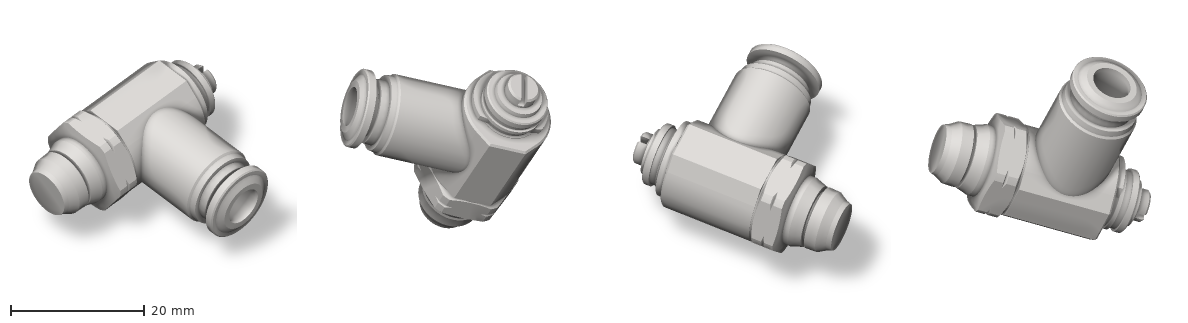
import cadquery as cq
import math


across_flats = 14.0
body_radius = across_flats / 2
body_top = 7.55
body_bottom = -7.2
body_chamfer = 0.3
half_flat = body_radius * math.tan(math.radians(22.5))
tangent_point = body_radius * math.cos(math.radians(45))
collar_radius = 6.9

hex_corner_radius = 7.75
hex_top = -7.45
hex_bottom = -12.0
hex_top_land_radius = 6.9
hex_top_bevel_angle = 30.0
hex_bottom_bevel_height = 0.6
notch_depth = 0.4
notch_half_height = 0.25
notch_centre = (hex_top + hex_bottom) / 2

seal_radius = 5.5
seal_cone_start = -12.95
seal_cone_end = -14.75
thread_radius = 4.9
thread_groove_radius = 4.05
thread_groove_fillet = 0.4
thread_flank_angle = 15.0
thread_straight_radius = 4.83
thread_straight_end = -17.1
thread_lead_radius = 4.0
thread_lead_end = -18.5
end_radius = 3.77
end_y = -19.25

knob_radius = 4.9
knob_bottom_rim = 9.3
knob_groove_radius = 4.5
knob_groove_top = 10.4
knob_top = 11.55
knob_chamfer = 0.2
shoulder_base_radius = 3.78
shoulder_radius = 3.6
shoulder_top = 12.3
screw_radius = 2.5
screw_top = 14.25
screw_chamfer = 0.3
slot_width = 1.0
slot_depth = 1.5

clip_bottom = 7.65
clip_top = 8.7
clip_radius = 6.0
clip_centre_z = 0.5
clip_outer_end_z = -2.9
clip_inner_end_z = -3.2
clip_outer_end_x = math.sqrt(clip_radius**2 - (clip_outer_end_z - clip_centre_z) ** 2)
clip_inner_end_x = math.sqrt(knob_groove_radius**2 - clip_inner_end_z**2)

port_radius = 6.25
port_straight_end = 16.75
port_bevel = 0.3
port_taper_end = 18.05
port_taper_radius = 5.8
cap_base_radius = 5.0
cap_end_radius = 4.93
cap_end = 19.37
neck_radius = 4.0
neck_fillet = 0.5
flange_radius = 6.0
flange_start = 20.53
flange_end = 21.8
flange_chamfer = 0.2
nose_base_radius = 5.1
nose_radius = 4.0
port_end = 22.5
tube_bore_radius = 3.0
tube_bore_depth = 12.0
slit_width = 0.95
slit_end = 19.5


def xz_plane(y):
    """Sketch plane square to the screw axis; negative extrusions run towards +Y."""
    return cq.Workplane("XZ", origin=(0, y, 0))


def turned_about_y(profile):
    """Revolve (radius, y) points about the screw axis."""
    return cq.Workplane("XY").polyline(profile).close().revolve(360, (0, 0), (0, 1))


def make_body():
    """Barrel with a bevelled top rim and the collar that joins it to the hexagon."""
    barrel = (
        xz_plane(body_bottom)
        .moveTo(-half_flat, body_radius)
        .lineTo(half_flat, body_radius)
        .lineTo(tangent_point, tangent_point)
        .threePointArc((body_radius, 0), (tangent_point, -tangent_point))
        .lineTo(half_flat, -body_radius)
        .lineTo(-half_flat, -body_radius)
        .lineTo(-tangent_point, -tangent_point)
        .threePointArc((-body_radius, 0), (-tangent_point, tangent_point))
        .close()
        .extrude(body_bottom - body_top)
        .faces(">Y")
        .chamfer(body_chamfer)
    )
    collar = xz_plane(hex_top).circle(collar_radius).extrude(hex_top - body_bottom)
    return barrel.union(collar)


def make_hexagon():
    """Hexagon with bevelled corners and a V notch running round through the corners."""
    top_bevel_height = (hex_corner_radius - hex_top_land_radius) * math.tan(math.radians(hex_top_bevel_angle))
    envelope = turned_about_y(
        [
            (0, hex_top),
            (hex_top_land_radius, hex_top),
            (hex_corner_radius, hex_top - top_bevel_height),
            (hex_corner_radius, notch_centre + notch_half_height),
            (hex_corner_radius - notch_depth, notch_centre),
            (hex_corner_radius, notch_centre - notch_half_height),
            (hex_corner_radius, hex_bottom + hex_bottom_bevel_height),
            (seal_radius, hex_bottom),
            (0, hex_bottom),
        ]
    )
    across_corners = across_flats / math.cos(math.radians(30))
    prism = xz_plane(hex_bottom).polygon(6, across_corners).extrude(hex_bottom - hex_top)
    return prism.intersect(envelope)


def make_threaded_end():
    """Seal cone, thread relief with a rounded root and a sloping flank, then the tapered thread lead."""
    flank = math.radians(thread_flank_angle)
    half_turn = (math.pi / 2 - flank) / 2
    root_centre_radius = thread_groove_radius + thread_groove_fillet

    def root_point(angle):
        return (
            root_centre_radius - thread_groove_fillet * math.cos(angle),
            seal_cone_end - thread_groove_fillet * math.sin(angle),
        )

    flank_start = root_point(2 * half_turn)
    flank_drop = (thread_radius - flank_start[0]) * math.tan(flank)
    return (
        cq.Workplane("XY")
        .moveTo(0, hex_bottom)
        .lineTo(seal_radius, hex_bottom)
        .lineTo(seal_radius, seal_cone_start)
        .lineTo(thread_radius, seal_cone_end)
        .lineTo(thread_groove_radius, seal_cone_end)
        .threePointArc(root_point(half_turn), flank_start)
        .lineTo(thread_radius, flank_start[1] - flank_drop)
        .lineTo(thread_straight_radius, thread_straight_end)
        .lineTo(thread_lead_radius, thread_lead_end)
        .lineTo(end_radius, end_y)
        .lineTo(0, end_y)
        .close()
        .revolve(360, (0, 0), (0, 1))
    )


def make_screw():
    """Grooved knob with the slotted screw standing on it."""
    screw = turned_about_y(
        [
            (0, body_top),
            (knob_radius, body_top),
            (knob_radius, clip_bottom),
            (knob_groove_radius, clip_bottom),
            (knob_groove_radius, clip_top),
            (knob_radius, clip_top),
            (knob_radius, knob_bottom_rim),
            (knob_groove_radius, knob_bottom_rim),
            (knob_groove_radius, knob_groove_top),
            (knob_radius, knob_groove_top),
            (knob_radius, knob_top - knob_chamfer),
            (knob_radius - knob_chamfer, knob_top),
            (shoulder_base_radius, knob_top),
            (shoulder_radius, shoulder_top),
            (screw_radius, shoulder_top),
            (screw_radius, screw_top - screw_chamfer),
            (screw_radius - screw_chamfer, screw_top),
            (0, screw_top),
        ]
    )
    slot = cq.Workplane("XY").box(slot_width, 2 * slot_depth, 2 * knob_radius).translate((0, screw_top, 0))
    return screw.cut(slot)


def make_clip():
    """Clip ring around the knob groove, cut off below the knob axis."""
    return (
        xz_plane(clip_bottom)
        .moveTo(-clip_outer_end_x, clip_outer_end_z)
        .threePointArc((0, clip_centre_z + clip_radius), (clip_outer_end_x, clip_outer_end_z))
        .lineTo(clip_inner_end_x, clip_inner_end_z)
        .lineTo(-clip_inner_end_x, clip_inner_end_z)
        .close()
        .extrude(clip_bottom - clip_top)
    )


def make_port():
    """Port barrel, cap ring, collet neck and release flange as one turned shape about X."""
    fillet_start = flange_start - neck_fillet
    fillet_middle = neck_fillet * math.sin(math.radians(45))
    return (
        cq.Workplane("XY")
        .moveTo(0, 0)
        .lineTo(0, port_radius)
        .lineTo(port_straight_end, port_radius)
        .lineTo(port_straight_end + port_bevel, port_radius - port_bevel)
        .lineTo(port_taper_end, port_taper_radius)
        .lineTo(port_taper_end, cap_base_radius)
        .lineTo(cap_end, cap_end_radius)
        .lineTo(cap_end, neck_radius)
        .lineTo(fillet_start, neck_radius)
        .threePointArc(
            (fillet_start + fillet_middle, neck_radius + neck_fillet - fillet_middle),
            (flange_start, neck_radius + neck_fillet),
        )
        .lineTo(flange_start, flange_radius)
        .lineTo(flange_end - flange_chamfer, flange_radius)
        .lineTo(flange_end, flange_radius - flange_chamfer)
        .lineTo(flange_end, nose_base_radius)
        .lineTo(port_end, nose_radius)
        .lineTo(port_end, 0)
        .close()
        .revolve(360, (0, 0), (1, 0))
    )


def make_tube_socket():
    """Tube bore together with the slit that crosses the collet neck along Y."""
    bore_bottom = cq.Workplane("YZ", origin=(port_end - tube_bore_depth, 0, 0))
    bore = bore_bottom.circle(tube_bore_radius).extrude(tube_bore_depth)
    slit = cq.Workplane("XY").box(slit_end - cap_end, 2 * neck_radius, slit_width)
    return bore.union(slit.translate(((cap_end + slit_end) / 2, 0, 0)))


result = (
    make_body()
    .union(make_hexagon())
    .union(make_threaded_end())
    .union(make_screw())
    .union(make_clip())
    .union(make_port())
    .cut(make_tube_socket())
)